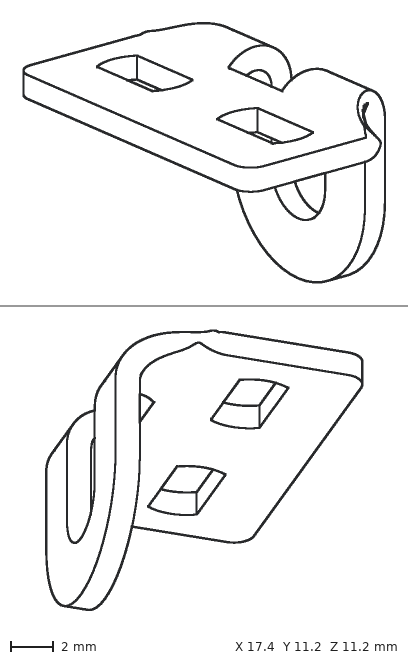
import cadquery as cq
import math


thickness = 1.2
plate_width = 17.4
plate_front_y = -9.01
corner_radius = 1.0

inner_radius = 1.0
outer_radius = inner_radius + thickness
mid_radius = inner_radius + thickness / 2
plate_back_y = -2.0
return_inner = (outer_radius**2 - plate_back_y**2 - thickness**2) / (2 * (thickness - outer_radius))
return_outer = return_inner + thickness
return_mid = return_inner + thickness / 2
return_angle = math.atan2(-plate_back_y, return_outer)
bend_angle = math.pi / 2 + return_angle
bend_run = mid_radius * bend_angle
return_end_run = bend_run + return_mid * return_angle

ring_radius = 5.0
ring_center_z = -4.02
slot_radius = 2.0
slot_end_angle = math.radians(136.5)

flare_radius = 4.0
flare_start_run = -0.15
flare_center_x = ring_radius + flare_radius
corner_center_x = plate_width / 2 - corner_radius
center_spacing = flare_radius + corner_radius
center_run_gap = math.sqrt(center_spacing**2 - (flare_center_x - corner_center_x) ** 2)
corner_center_run = flare_start_run + center_run_gap
flare_end_run = flare_start_run + center_run_gap * flare_radius / center_spacing

window_diameter = 4.8
window_height = 2.4
window_x = 4.5
window_y = -4.6

clearance = 0.17


def half_width(run):
    """Half width of the unfolded sheet at a given run."""
    if run < flare_end_run:
        rise = max(run - flare_start_run, 0.0)
        return flare_center_x - math.sqrt(flare_radius**2 - rise**2)
    drop = max(corner_center_run - run, 0.0)
    return corner_center_x + math.sqrt(corner_radius**2 - drop**2)


def polar(center, radius, angle):
    """Point (y, z) at an angle measured from +Y towards +Z."""
    return (center[0] + radius * math.cos(angle), center[1] + radius * math.sin(angle))


def sector(center, radii, angles, width):
    """Annular sector in the YZ plane, centered on X."""
    inner, outer = radii
    start, end = angles
    middle = (start + end) / 2
    return (
        cq.Workplane("YZ")
        .moveTo(*polar(center, inner, start))
        .lineTo(*polar(center, outer, start))
        .threePointArc(polar(center, outer, middle), polar(center, outer, end))
        .lineTo(*polar(center, inner, end))
        .threePointArc(polar(center, inner, middle), polar(center, inner, start))
        .close()
        .extrude(width / 2, both=True)
    )


def side_cutter(center, radii, angle_at, runs):
    """Tool beyond the +X side edge, whose cut face follows the radii of a bend."""
    steps = 16
    start, end = runs
    stations = [start + (end - start) * i / steps for i in range(steps + 1)]

    def edge(radius):
        points = []
        for run in stations:
            y, z = polar(center, radius, angle_at(run))
            points.append(cq.Vector(half_width(run), y, z))
        return cq.Edge.makeSpline(points)

    face = cq.Face.makeRuledSurface(edge(radii[0] - clearance), edge(radii[1] + clearance))
    return cq.Workplane(cq.Solid.extrudeLinear(face, cq.Vector(plate_width, 0, 0)))


def bend(center, radii, angle_at, breaks):
    """Bent strip with shaped side edges; breaks are the runs where the edge changes curve."""
    blank_width = plate_width + 2 * clearance
    body = sector(center, radii, (angle_at(breaks[0]), angle_at(breaks[-1])), blank_width)
    for runs in zip(breaks[:-1], breaks[1:]):
        cutter = side_cutter(center, radii, angle_at, runs)
        body = body.cut(cutter).cut(cutter.mirror("YZ"))
    return body


def main_bend_angle(run):
    return run / mid_radius


def return_bend_angle(run):
    return return_angle - math.pi / 2 - (run - bend_run) / return_mid


def make_ring():
    top_x = half_width(0)
    middle_run = flare_start_run / 2
    middle_x = half_width(middle_run)
    return (
        cq.Workplane("XZ", origin=(0, outer_radius, 0))
        .moveTo(-top_x, 0)
        .threePointArc((-middle_x, middle_run), (-ring_radius, flare_start_run))
        .lineTo(-ring_radius, ring_center_z)
        .threePointArc((0, ring_center_z - ring_radius), (ring_radius, ring_center_z))
        .lineTo(ring_radius, flare_start_run)
        .threePointArc((middle_x, middle_run), (top_x, 0))
        .close()
        .extrude(thickness)
    )


def make_plate():
    return (
        cq.Workplane("XY")
        .center(0, (plate_front_y + plate_back_y) / 2)
        .rect(plate_width, plate_back_y - plate_front_y)
        .extrude(thickness)
        .edges("|Z and <Y")
        .fillet(corner_radius)
    )


def make_windows():
    centers = [(-window_x, window_y), (window_x, window_y)]
    sketch = cq.Workplane("XY").pushPoints(centers)
    disks = sketch.circle(window_diameter / 2).extrude(thickness)
    strips = sketch.rect(window_diameter, window_height).extrude(thickness)
    return disks.intersect(strips)


def make_slot():
    """Round-ended slot in the ring that runs up and around the main bend."""
    straight = (
        cq.Workplane("XZ", origin=(0, outer_radius, 0))
        .moveTo(-slot_radius, 0)
        .lineTo(-slot_radius, ring_center_z)
        .threePointArc((0, ring_center_z - slot_radius), (slot_radius, ring_center_z))
        .lineTo(slot_radius, 0)
        .close()
        .extrude(thickness)
    )
    radii = (inner_radius - clearance, outer_radius + clearance)
    return straight.union(sector((0, 0), radii, (0, slot_end_angle), 2 * slot_radius))


main_bend = bend((0, 0), (inner_radius, outer_radius), main_bend_angle, [0, flare_end_run, bend_run])
return_bend = bend(
    (plate_back_y, return_outer),
    (return_inner, return_outer),
    return_bend_angle,
    [bend_run, corner_center_run, return_end_run],
)
result = make_ring().union(main_bend).union(return_bend).union(make_plate())
result = result.cut(make_slot()).cut(make_windows())